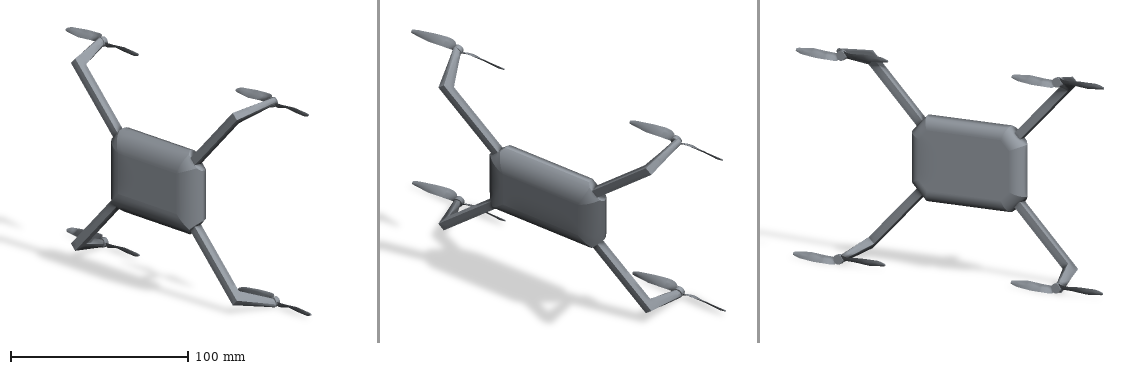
import cadquery as cq
import math

BODY_LENGTH = 75.0
BODY_HEIGHT = 50.0
BODY_DEPTH = 15.0
CORNER_CUT = 10.0
FRONT_RADIUS = 15.0
BACK_RADIUS = BODY_DEPTH / 2

ARM_WIDTH = 5.0
ARM_LENGTH = 50.0
ARM_ROOT_DEPTH = 8.0
ELBOW_SETBACK = 5.3
TIP_WIDTH = 4.26
TIP_LENGTH = 5.6
TIP_REACH = 56.2
TIP_Y = 22.6

HUB_DIAMETER = 5.68
HUB_HEIGHT = 2.84
BLADE_THICKNESS = 0.9
BLADE_STATIONS = [
    (2.0, (0.4, 0.6), (2.8, -3.0)),
    (3.4, (0.4, 0.7), (3.8, -3.1)),
    (5.5, (0.3, 0.8), (4.9, -2.8)),
    (11.5, (0.3, 1.1), (4.92, -2.7)),
    (17.0, (0.3, 1.7), (3.8, -2.75)),
    (23.0, (0.4, 1.6), (2.6, -2.5)),
    (28.0, (0.6, 1.1), (1.9, -1.7)),
    (30.25, (0.8, 0.6), (1.7, -0.8)),
]
PROPELLER_PLACES = [(-72.3, 59.6), (70.4, 58.6), (-71.7, -59.3), (72.3, -59.3)]

ARM_START_X = (BODY_LENGTH - CORNER_CUT) / 2
ARM_START_Z = (BODY_HEIGHT - CORNER_CUT) / 2
FRONT_ARC_ANGLE = math.acos(1 - BODY_DEPTH / 2 / FRONT_RADIUS)
FRONT_INSET = FRONT_RADIUS * math.sin(FRONT_ARC_ANGLE)
THROUGH_LENGTH = 3 * BODY_LENGTH


def rounded_front(plane, half_width):
    """Bar with a flat back and a front face whose sides fall in FRONT_RADIUS arcs.

    The plane's first axis is the width and its second axis is Y.
    """
    flat = half_width - FRONT_INSET
    arc_x = flat + FRONT_RADIUS * math.sin(FRONT_ARC_ANGLE / 2)
    arc_y = FRONT_RADIUS * (1 - math.cos(FRONT_ARC_ANGLE / 2)) - BODY_DEPTH / 2
    return (
        cq.Workplane(plane)
        .moveTo(-flat, -BODY_DEPTH / 2)
        .lineTo(flat, -BODY_DEPTH / 2)
        .threePointArc((arc_x, arc_y), (half_width, 0))
        .lineTo(half_width, BODY_DEPTH / 2)
        .lineTo(-half_width, BODY_DEPTH / 2)
        .lineTo(-half_width, 0)
        .threePointArc((-arc_x, arc_y), (-flat, -BODY_DEPTH / 2))
        .close()
        .extrude(THROUGH_LENGTH / 2, both=True)
    )


def make_shell():
    """Chamfered block, rounded all round at the back, arched at the front."""
    shell = (
        cq.Workplane("XZ")
        .rect(BODY_LENGTH, BODY_HEIGHT)
        .extrude(BODY_DEPTH / 2, both=True)
        .edges("|Y")
        .chamfer(CORNER_CUT)
    )
    shell = shell.faces(">Y").edges().fillet(BACK_RADIUS)
    across_x = cq.Plane((0, 0, 0), (1, 0, 0), (0, 0, 1))
    across_z = cq.Plane((0, 0, 0), (0, 0, 1), (-1, 0, 0))
    shell = shell.intersect(rounded_front(across_x, BODY_LENGTH / 2))
    shell = shell.intersect(rounded_front(across_z, BODY_HEIGHT / 2))
    face_corner = (BODY_LENGTH / 2 + BODY_HEIGHT / 2 - 2 * FRONT_INSET) / math.sqrt(2)
    for side in (1, -1):
        diagonal = cq.Plane((0, 0, 0), (side, 0, 1), (-1, 0, side))
        arch = rounded_front(diagonal, face_corner + FRONT_INSET)
        quarter = cq.Workplane("XY").box(BODY_LENGTH / 2, BODY_DEPTH, BODY_HEIGHT / 2)
        quarter = quarter.translate((side * BODY_LENGTH / 4, 0, BODY_HEIGHT / 4))
        shell = shell.cut(quarter.cut(arch))
    return shell


def arm_point(along, across, y):
    """Point of the upper right arm, measured from the corner chamfer."""
    return cq.Vector(
        ARM_START_X + (along + across) / math.sqrt(2),
        y,
        ARM_START_Z + (along - across) / math.sqrt(2),
    )


def square_section(front_along, back_along):
    """Square outline across the bar, tilted when its front and back places differ."""
    half = ARM_WIDTH / 2
    corners = [(front_along, -1, -1), (front_along, 1, -1), (back_along, 1, 1), (back_along, -1, 1)]
    points = [arm_point(along, side * half, y * half) for along, side, y in corners]
    return cq.Wire.makePolygon(points, close=True)


def tip_section():
    """Oval outline of the tip, split in four arcs that match the corners of the bar."""
    centre = arm_point(TIP_REACH, 0, TIP_Y)
    along_arm = arm_point(1, 0, 0) - arm_point(0, 0, 0)
    facing = cq.Vector(0, -1, 0)
    return cq.Wire.assembleEdges(
        [
            cq.Edge.makeEllipse(
                TIP_LENGTH / 2, TIP_WIDTH / 2, centre, facing, along_arm, start, start + 90
            )
            for start in (-45, 45, 135, 225)
        ]
    )


def make_arm():
    """Straight bar to a mitred elbow, then a taper to the round tip."""
    elbow = square_section(ARM_LENGTH, ARM_LENGTH - ELBOW_SETBACK)
    bar = cq.Solid.makeLoft([square_section(-ARM_ROOT_DEPTH, -ARM_ROOT_DEPTH), elbow], True)
    taper = cq.Solid.makeLoft([elbow, tip_section()], True)
    return cq.Workplane(bar).union(cq.Workplane(taper))


def make_housing():
    """Shell and its four arms in one piece."""
    housing = make_shell()
    right_arms = make_arm()
    right_arms = right_arms.union(right_arms.mirror("XY"))
    return housing.union(right_arms).union(right_arms.mirror("YZ"))


def blade_section(radius, base_edge, raised_edge):
    """Lens-shaped outline around a chord."""
    start = cq.Vector(radius, *base_edge)
    end = cq.Vector(radius, *raised_edge)
    chord = end - start
    bulge = cq.Vector(0, -chord.z, chord.y).normalized() * (BLADE_THICKNESS / 2)
    middle = (start + end) * 0.5
    return cq.Wire.assembleEdges(
        [
            cq.Edge.makeThreePointArc(start, middle + bulge, end),
            cq.Edge.makeThreePointArc(end, middle - bulge, start),
        ]
    )


def make_propeller():
    """Two twisted blades on a hub whose base is centred on the origin and whose axis is +Y."""
    hub = cq.Workplane("XZ").circle(HUB_DIAMETER / 2).extrude(-HUB_HEIGHT)
    blade = cq.Workplane(cq.Solid.makeLoft([blade_section(*s) for s in BLADE_STATIONS]))
    opposite_blade = blade.rotate((0, 0, 0), (0, 1, 0), 180)
    return hub.union(blade).union(opposite_blade)


housing = make_housing()
propeller = make_propeller()
propellers = [propeller.translate((x, TIP_Y, z)) for x, z in PROPELLER_PLACES]

result = cq.Compound.makeCompound([housing.solids().val(), *[p.solids().val() for p in propellers]])